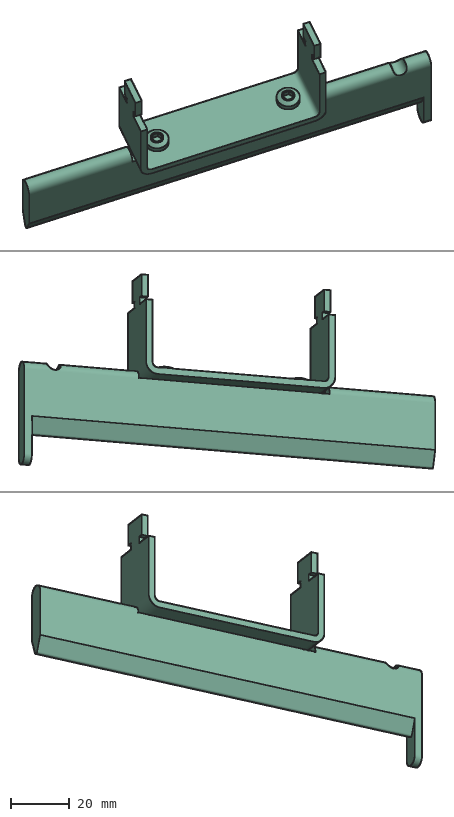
import cadquery as cq
import math

blade_length = 147.0
blade_thickness = 6.0
blade_tip_z = 10.6
blade_bevel_z = 16.5
blade_top_z = 36.0
blade_tip_radius = 0.9
edge_radius = blade_thickness / 2
blade_back_y = blade_length / 2
seat_z = blade_top_z - edge_radius

finger_thickness = 2.8

notch_radius = 2.5
notch_setback = 11.0
notch_centre_depth = 0.1
notch_y = blade_back_y - notch_setback
notch_z = blade_top_z - notch_centre_depth

bracket_width = 20.0
bracket_length = 67.6
bracket_y = -1.6
bracket_top_z = 69.0
sheet = 2.4
bend_outer_radius = 4.1
seat_clearance = 0.3

head_width = 10.0
head_height = 7.6
neck_width = 6.0
neck_height = 2.4

screw_spacing = 47.9
screw_diameter = 8.0
screw_rim_height = 1.8
screw_height = 2.6
screw_flat_diameter = 4.4
socket_sides = 6
socket_diameter = 3.7
socket_depth = 1.8


def box_between(x_size, y_min, y_max, z_min, z_max):
    """Box centred on x = 0."""
    box = cq.Workplane("XY").box(x_size, y_max - y_min, z_max - z_min)
    return box.translate((0, (y_min + y_max) / 2, (z_min + z_max) / 2))


def make_blade():
    tip_centre_z = blade_tip_z + blade_tip_radius
    rise = blade_bevel_z - tip_centre_z
    corner_angle = math.atan2(edge_radius, rise)
    tangent_angle = math.asin(blade_tip_radius / math.hypot(edge_radius, rise))
    bevel_angle = corner_angle - tangent_angle
    tangent_x = blade_tip_radius * math.cos(bevel_angle)
    tangent_z = tip_centre_z - blade_tip_radius * math.sin(bevel_angle)
    return (
        cq.Workplane("XZ", origin=(0, blade_back_y, 0))
        .moveTo(-edge_radius, seat_z)
        .threePointArc((0, blade_top_z), (edge_radius, seat_z))
        .lineTo(edge_radius, blade_bevel_z)
        .lineTo(tangent_x, tangent_z)
        .threePointArc((0, blade_tip_z), (-tangent_x, tangent_z))
        .lineTo(-edge_radius, blade_bevel_z)
        .close()
        .extrude(blade_length)
    )


def make_finger():
    return (
        cq.Workplane("XZ", origin=(0, blade_back_y, 0))
        .center(0, blade_top_z / 2)
        .slot2D(blade_top_z, blade_thickness, 90)
        .extrude(finger_thickness)
    )


def make_notch():
    centre = cq.Workplane("YZ").center(notch_y, notch_z)
    return centre.circle(notch_radius).extrude(blade_thickness, both=True)


def make_seat_recess():
    half_recess = bracket_length / 2 + seat_clearance
    return box_between(
        bracket_width, bracket_y - half_recess, bracket_y + half_recess, seat_z, bracket_top_z
    )


def make_bracket():
    half_length = bracket_length / 2
    outer = box_between(
        bracket_width, bracket_y - half_length, bracket_y + half_length, seat_z, bracket_top_z
    )
    inner = box_between(
        bracket_width,
        bracket_y - half_length + sheet,
        bracket_y + half_length - sheet,
        seat_z + sheet,
        bracket_top_z,
    )
    outer = outer.edges("|X and <Z").fillet(bend_outer_radius)
    inner = inner.edges("|X and <Z").fillet(bend_outer_radius - sheet)
    bracket = outer.cut(inner)

    head_z = bracket_top_z - head_height
    shoulder_z = head_z - neck_height
    for side in (-1, 1):
        for width, z_min, z_max in (
            (head_width, head_z, bracket_top_z),
            (neck_width, shoulder_z, head_z),
        ):
            cut_width = (bracket_width - width) / 2
            cut_x = side * (bracket_width - cut_width) / 2
            corner = box_between(
                cut_width, bracket_y - half_length, bracket_y + half_length, z_min, z_max
            )
            bracket = bracket.cut(corner.translate((cut_x, 0, 0)))
    return bracket


def make_screw_head(y):
    """Low cylinder under a domed cap, with a hexagonal socket."""
    rim_radius = screw_diameter / 2
    flat_radius = screw_flat_diameter / 2
    cap_height = screw_height - screw_rim_height
    sphere_drop = (rim_radius**2 - flat_radius**2 - cap_height**2) / (2 * cap_height)
    sphere_radius = math.hypot(rim_radius, sphere_drop)
    mid_radius = (rim_radius + flat_radius) / 2
    mid_z = screw_rim_height - sphere_drop + math.sqrt(sphere_radius**2 - mid_radius**2)
    head = (
        cq.Workplane("XZ")
        .lineTo(rim_radius, 0)
        .lineTo(rim_radius, screw_rim_height)
        .threePointArc((mid_radius, mid_z), (flat_radius, screw_height))
        .lineTo(0, screw_height)
        .close()
        .revolve(360, (0, 0), (0, 1))
    )
    socket = (
        cq.Workplane("XY", origin=(0, 0, screw_height))
        .transformed(rotate=(0, 0, 90))
        .polygon(socket_sides, socket_diameter)
        .extrude(-socket_depth)
    )
    return head.cut(socket).translate((0, y, seat_z + sheet))


result = make_blade().union(make_finger()).cut(make_notch()).cut(make_seat_recess())
result = result.union(make_bracket())
for side in (-1, 1):
    result = result.union(make_screw_head(bracket_y + side * screw_spacing / 2))